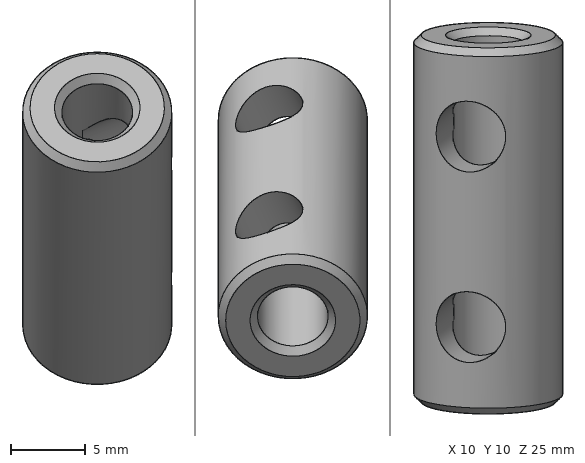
import cadquery as cq

length = 25.0
outer_diameter = 10.0
outer_chamfer = 0.5

bore_diameter = 4.73
bore_chamfer = 0.5

screw_hole_diameter = 4.83
screw_hole_end_distance = 6.0
screw_hole_heights = (screw_hole_end_distance, length - screw_hole_end_distance)


def make_sleeve():
    """Hollow cylinder with every end edge, inside and out, chamfered."""
    body = cq.Workplane("XY").circle(outer_diameter / 2).extrude(length)
    body = body.faces("<Z or >Z").chamfer(outer_chamfer)

    bore = cq.Workplane("XY").circle(bore_diameter / 2).extrude(length)
    body = body.cut(bore)

    bore_mouths = body.faces("<Z or >Z").edges(cq.selectors.RadiusNthSelector(0))
    return bore_mouths.chamfer(bore_chamfer)


def make_screw_hole(height):
    """Radial cutter running from the bore axis out through the +Y wall."""
    return (
        cq.Workplane("XZ", origin=(0, 0, height))
        .circle(screw_hole_diameter / 2)
        .extrude(-outer_diameter)
    )


result = make_sleeve()
for hole_height in screw_hole_heights:
    result = result.cut(make_screw_hole(hole_height))